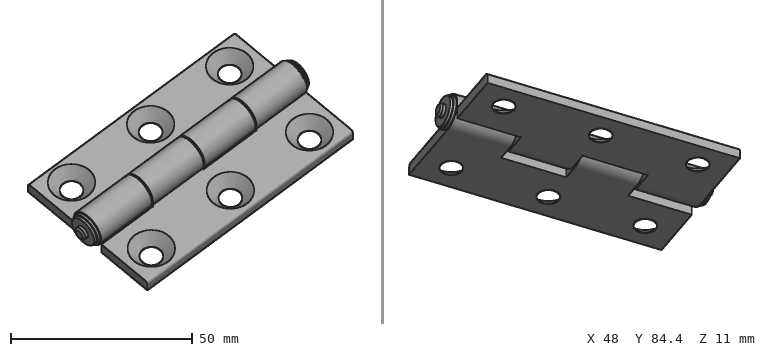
import cadquery as cq

TOTAL_LENGTH = 84.4
OPEN_WIDTH = 48.0
LEAF_LENGTH = 78.0
LEAF_THICKNESS = 3.55
EDGE_RADIUS = 1.0

KNUCKLE_DIAMETER = 11.0
KNUCKLE_COUNT = 4
KNUCKLE_GAP = 0.5

PIN_DIAMETER = 4.0
PIN_TIP_CHAMFER = 0.6
INNER_COLLAR_DIAMETER = 10.0
OUTER_COLLAR_DIAMETER = 9.0
COLLAR_THICKNESS = 0.85

SCREW_DIAMETER = 6.5
COUNTERSINK_DIAMETER = 13.1
COUNTERSINK_ANGLE = 90.0
SCREW_OFFSET = 16.0
SCREW_PITCH = 30.0
SCREW_ROWS = (-1, 0, 1)

AXIS_HEIGHT = KNUCKLE_DIAMETER / 2
KNUCKLE_PITCH = (LEAF_LENGTH + KNUCKLE_GAP) / KNUCKLE_COUNT
KNUCKLE_LENGTH = KNUCKLE_PITCH - KNUCKLE_GAP
LEAF_START = -LEAF_LENGTH / 2


def axial_cylinder(diameter, start, length):
    """Solid cylinder on the hinge axis, running from Y = start toward +Y."""
    base = cq.Workplane("XZ", origin=(0, start, AXIS_HEIGHT))
    return base.circle(diameter / 2).extrude(-length)


def plate(side):
    """Leaf plate from the hinge axis to the rounded outer edge; side is -1 or +1 along X."""
    width = OPEN_WIDTH / 2
    blank = cq.Workplane("XY").box(width, LEAF_LENGTH, LEAF_THICKNESS, centered=(True, True, False))
    blank = blank.translate((side * width / 2, 0, 0))
    outer_edge = ">X and >Z" if side > 0 else "<X and >Z"
    return blank.edges(outer_edge).fillet(EDGE_RADIUS)


def knuckle_start(index):
    return LEAF_START + index * KNUCKLE_PITCH


def clear_between_knuckles(leaf, own_knuckles):
    """Cut the plate back beside the axis everywhere except at the leaf's own knuckles."""
    size = KNUCKLE_DIAMETER
    clearance = cq.Workplane("XY").box(size, LEAF_LENGTH, size, centered=(True, True, False))
    for index in own_knuckles:
        kept = cq.Workplane("XY").box(size, KNUCKLE_LENGTH, size, centered=(True, False, False))
        clearance = clearance.cut(kept.translate((0, knuckle_start(index), 0)))
    return leaf.cut(clearance)


def countersink_holes(leaf, side):
    points = [(side * SCREW_OFFSET, row * SCREW_PITCH) for row in SCREW_ROWS]
    top_face = leaf.copyWorkplane(cq.Workplane("XY", origin=(0, 0, LEAF_THICKNESS)))
    return top_face.pushPoints(points).cskHole(SCREW_DIAMETER, COUNTERSINK_DIAMETER, COUNTERSINK_ANGLE)


def make_leaf(side, first_knuckle):
    """Leaf with every second knuckle, bored for the pin."""
    own_knuckles = range(first_knuckle, KNUCKLE_COUNT, 2)
    leaf = clear_between_knuckles(plate(side), own_knuckles)
    for index in own_knuckles:
        leaf = leaf.union(axial_cylinder(KNUCKLE_DIAMETER, knuckle_start(index), KNUCKLE_LENGTH))
    leaf = countersink_holes(leaf, side)
    return leaf.cut(axial_cylinder(PIN_DIAMETER, LEAF_START, LEAF_LENGTH))


def make_pin():
    """Pin with chamfered tips and a stepped retaining collar against each end of the hinge."""
    pin = axial_cylinder(PIN_DIAMETER, -TOTAL_LENGTH / 2, TOTAL_LENGTH)
    pin = pin.faces("<Y or >Y").edges().chamfer(PIN_TIP_CHAMFER)
    for direction in (-1, 1):
        collar_start = direction * LEAF_LENGTH / 2
        step = direction * COLLAR_THICKNESS
        pin = pin.union(axial_cylinder(INNER_COLLAR_DIAMETER, collar_start, step))
        pin = pin.union(axial_cylinder(OUTER_COLLAR_DIAMETER, collar_start + step, step))
    return pin


left_leaf = make_leaf(side=-1, first_knuckle=0)
right_leaf = make_leaf(side=1, first_knuckle=1)
pin = make_pin()

result = cq.Compound.makeCompound([left_leaf.solids().val(), right_leaf.solids().val(), pin.solids().val()])